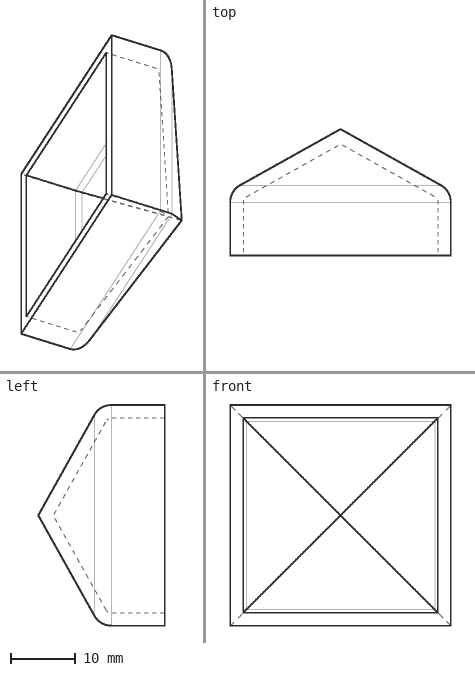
import cadquery as cq
import math

width = 34.0
total_depth = 19.5
skirt_depth = 10.0
edge_radius = 3.0
wall = 2.0

slope = math.atan2(total_depth - skirt_depth, width / 2)
inner_width = width - 2 * wall
inner_apex = total_depth - wall / math.cos(slope)
inner_radius = edge_radius - wall


def roof_prism(side, apex, radius):
    """House-shaped profile in XY with rounded eaves, extruded along Z and centred on it."""
    half = side / 2
    eave = apex - half * math.tan(slope)
    turn = math.pi / 2 - slope
    tangent = radius * math.tan(turn / 2)

    centre_x = half - radius
    start_y = eave - tangent
    mid_x = centre_x + radius * math.cos(turn / 2)
    mid_y = start_y + radius * math.sin(turn / 2)
    end_x = centre_x + radius * math.cos(turn)
    end_y = start_y + radius * math.sin(turn)

    return (
        cq.Workplane("XY")
        .moveTo(-half, 0)
        .lineTo(half, 0)
        .lineTo(half, start_y)
        .threePointArc((mid_x, mid_y), (end_x, end_y))
        .lineTo(0, apex)
        .lineTo(-end_x, end_y)
        .threePointArc((-mid_x, mid_y), (-half, start_y))
        .close()
        .extrude(half, both=True)
    )


def pyramid_block(side, apex, radius):
    """Square block with a pyramid end: two crossed roof prisms, mitred at the corners."""
    prism = roof_prism(side, apex, radius)
    crossed_prism = prism.rotate((0, 0, 0), (0, 1, 0), 90)
    return prism.intersect(crossed_prism)


outside = pyramid_block(width, total_depth, edge_radius)
cavity = pyramid_block(inner_width, inner_apex, inner_radius)

result = outside.cut(cavity)